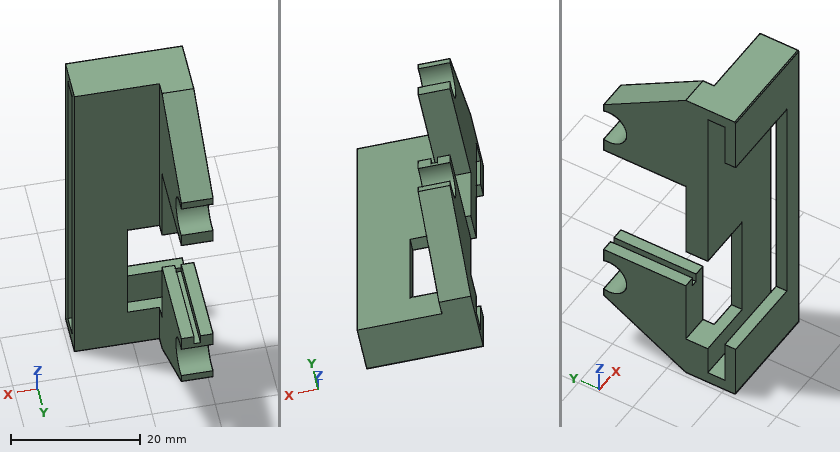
import cadquery as cq

width = 18.5
depth = 24.1
height = 60.0
wall = 2.0

plate_depth = 7.1
slot_back = 5.1
slot_margin = 2.1
window_width = 15.0
window_margin = 9.95
edge_chamfer = 0.2

arm_width = 5.05
arm_root = 9.1
tip_margin = 9.0
upper_arm_bottom = 41.0
lower_arm_top = 19.1

opening_width = 2 * arm_width
opening_bottom = 7.4
opening_top = 26.65

notch_radius = 3.25
notch_y = 23.15
notch_margin = 13.5
groove_width = 1.0
groove_depth = 1.6


def box(x_range, y_range, z_range):
    """Box spanning the given (low, high) range along each axis."""
    ranges = (x_range, y_range, z_range)
    size = [high - low for low, high in ranges]
    corner = tuple(low for low, high in ranges)
    return cq.Workplane("XY").box(*size, centered=False).translate(corner)


def make_plate():
    plate = box((0, width), (0, plate_depth), (0, height))
    opening = box((0, opening_width), (0, plate_depth), (opening_bottom, opening_top))
    front_wall = box((0, width), (0, wall), (0, height))
    window = box((0, window_width), (0, wall), (window_margin, height - window_margin))
    plate = plate.cut(opening).union(front_wall).cut(window)
    return plate.edges("|X and <Y").edges("<Z or >Z").chamfer(edge_chamfer)


def make_arms():
    """Upper and lower arms, joined to the back of the plate."""
    upper = [
        (slot_back, height),
        (arm_root, height),
        (depth, height - tip_margin),
        (depth, upper_arm_bottom),
        (arm_root, upper_arm_bottom),
        (arm_root, opening_top),
        (slot_back, opening_top),
    ]
    lower = [
        (slot_back, 0),
        (arm_root, 0),
        (depth, tip_margin),
        (depth, lower_arm_top),
        (arm_root, lower_arm_top),
        (arm_root, opening_bottom),
        (slot_back, opening_bottom),
    ]
    arms = cq.Workplane("YZ")
    for outline in (upper, lower):
        arms = arms.union(cq.Workplane("YZ").polyline(outline).close().extrude(arm_width))
    notches = (
        cq.Workplane("YZ")
        .pushPoints([(notch_y, notch_margin), (notch_y, height - notch_margin)])
        .circle(notch_radius)
        .extrude(arm_width)
    )
    return arms.cut(notches)


def make_groove():
    """Groove centred on the top face of the lower arm."""
    start = (arm_width - groove_width) / 2
    return box(
        (start, start + groove_width),
        (arm_root, depth),
        (lower_arm_top - groove_depth, lower_arm_top),
    )


slot = box((0, width), (wall, slot_back), (slot_margin, height - slot_margin))
result = make_plate().union(make_arms()).cut(slot).cut(make_groove())